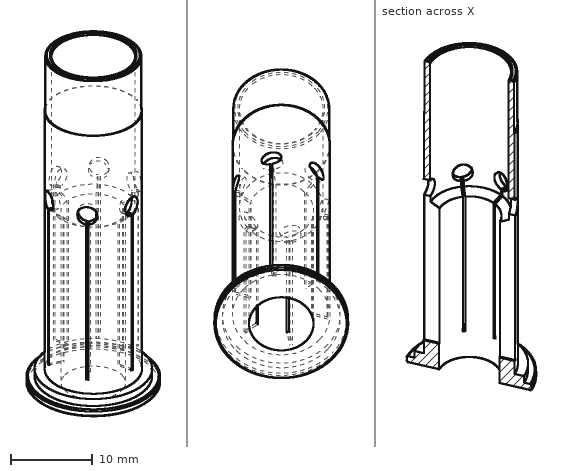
import cadquery as cq
import math

total_height = 47.0
flange_height = 1.0
shoulder_top = 2.0
spigot_length = 8.0
spigot_base = total_height - spigot_length

flange_diameter = 16.5
shoulder_diameter = 14.5
body_diameter = 12.0
spigot_diameter = 11.85

flange_chamfer = 0.2
outer_rim_chamfer = 0.2
inner_rim_chamfer = 0.2

bore_radius = 10.3 / 2
throat_radius = 7.94 / 2
cone_top = 25.4
cone_slope_angle = 30.0
cone_length = (bore_radius - throat_radius) * math.tan(math.radians(cone_slope_angle))
cone_bottom = cone_top - cone_length

slit_count = 6
relief_hole_diameter = 2.5
relief_hole_height = 27.5
slot_width = 0.3
slot_bottom = 4.0


def make_outside():
    flange = cq.Workplane("XY").circle(flange_diameter / 2).extrude(flange_height)
    flange = flange.edges().chamfer(flange_chamfer)
    shoulder = cq.Workplane("XY").circle(shoulder_diameter / 2).extrude(shoulder_top)
    body = cq.Workplane("XY").circle(body_diameter / 2).extrude(spigot_base)
    spigot = cq.Workplane("XY").circle(spigot_diameter / 2).extrude(total_height)
    spigot = spigot.faces(">Z").edges().chamfer(outer_rim_chamfer)
    return flange.union(shoulder).union(body).union(spigot)


def make_bore():
    profile = [
        (0, 0),
        (throat_radius, 0),
        (throat_radius, cone_bottom),
        (bore_radius, cone_top),
        (bore_radius, total_height - inner_rim_chamfer),
        (bore_radius + inner_rim_chamfer, total_height),
        (0, total_height),
    ]
    return cq.Workplane("XZ").polyline(profile).close().revolve(360, (0, 0), (0, 1))


def make_slit():
    """Relief hole and slot through the wall on the -Y side."""
    reach = body_diameter
    hole = (
        cq.Workplane("XZ")
        .center(0, relief_hole_height)
        .circle(relief_hole_diameter / 2)
        .extrude(reach)
    )
    slot_length = relief_hole_height - slot_bottom
    slot = (
        cq.Workplane("XZ")
        .center(0, slot_bottom + slot_length / 2)
        .rect(slot_width, slot_length)
        .extrude(reach)
    )
    return hole.union(slot)


result = make_outside().cut(make_bore())
slit = make_slit()
for index in range(slit_count):
    angle = index * 360 / slit_count
    result = result.cut(slit.rotate((0, 0, 0), (0, 0, 1), angle))